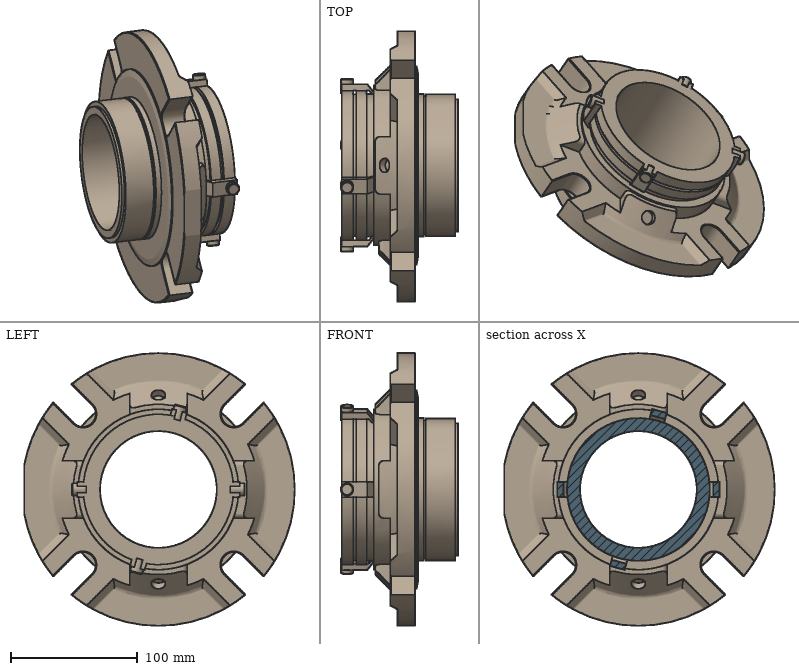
import cadquery as cq
import math

SLEEVE_FRONT = 0.6
GROOVE_START = 9.7
GROOVE_END = 12.0
COLLAR_END = 20.5
HUB_FRONT = 25.9
ARM_FACE = 39.0
PAD_FACE = 44.6
FLANGE_BACK = 58.9
RIM_BACK = 60.0
SPIGOT_BACK = 61.0
RELIEF_START = 65.5
RELIEF_END = 67.3
BODY_END = 90.5
SLEEVE_END = 92.7

BORE_R = 92.0 / 2
COLLAR_R = 118.8 / 2
GROOVE_R = 112.5 / 2
NECK_R = 113.0 / 2
HUB_R = 63.5
RIM_R = 78.5
SPIGOT_R = 145.5 / 2
RELIEF_R = 109.8 / 2
BODY_R = 112.5 / 2
TAIL_R = 104.8 / 2

FLANGE_R = 107.8
FLAT_Y = 106.0
BACK_CHAMFER = 0.6
SLOT_ANGLES = (45, 135, 225, 315)
SLOT_W = 20.3
SLOT_CENTRE_R = 84.3
SLOT_CHAMFER = 0.6
ARM_HALF_W = 24.8
ARM_FOOT_R = 1.7

CONE_OFFSET = 40.1
CONE_FOOT_R = 3.9

LOBE_W = 45.3
LOBE_CORNER_R = 3.9
LOBE_FRONT = 27.2
SHORT_LOBE_FRONT = 30.0
LOBE_FRONTS = {0: LOBE_FRONT, 90: SHORT_LOBE_FRONT, 180: LOBE_FRONT, 270: LOBE_FRONT}
PORT_ANGLES = (0, 180)
PORT_D = 11.0
PORT_STATION = 34.5
PORT_DEPTH = 6.5

CLIP_ANGLES = (15, 90, 195, 270)
CLIP_W = 12.0
CLIP_BASE_R = 59.0
CLIP_TOP_R = 64.3
CLIP_BEND = 21.0
CLIP_TIP_TOP_R = 58.0
CLIP_INNER_BEND = 22.2
CLIP_TIP_R = 55.0
SCREW_D = 10.0
SCREW_TOP_R = 68.4
SCREW_EDGE = 0.6

OVERLAP = 2.2


def turned(profile):
    """Revolve a closed (x, radius) outline about the X axis."""
    return profile.close().revolve(360, (0, 0, 0), (1, 0, 0))


def about_axis(shape, angle):
    return shape.rotate((0, 0, 0), (1, 0, 0), angle)


def foot_arc(base, radius):
    """Start, middle and end (x, offset) of the fillet where a 45 degree wall meets the pad face."""
    length = radius * math.tan(math.radians(22.5))
    start = (PAD_FACE - length * math.sin(math.radians(45)), base - length * math.cos(math.radians(45)))
    middle = (
        PAD_FACE - radius + radius * math.cos(math.radians(22.5)),
        base + length - radius * math.sin(math.radians(22.5)),
    )
    end = (PAD_FACE, base + length)
    return start, middle, end


def sleeve():
    steps = [
        (GROOVE_START, COLLAR_R),
        (GROOVE_END, GROOVE_R),
        (COLLAR_END, COLLAR_R),
        (RELIEF_START, NECK_R),
        (RELIEF_END, RELIEF_R),
        (BODY_END, BODY_R),
        (SLEEVE_END, TAIL_R),
    ]
    profile = cq.Workplane("XY").moveTo(SLEEVE_FRONT, 0)
    start = SLEEVE_FRONT
    for end, radius in steps:
        profile = profile.lineTo(start, radius).lineTo(end, radius)
        start = end
    return turned(profile.lineTo(SLEEVE_END, 0))


def flange_disc():
    """Full cone, pad face, rim and rear spigot."""
    blank_r = FLANGE_R + OVERLAP
    start, middle, end = foot_arc(PAD_FACE + CONE_OFFSET, CONE_FOOT_R)
    profile = (
        cq.Workplane("XY")
        .moveTo(HUB_FRONT, 0)
        .lineTo(HUB_FRONT, HUB_FRONT + CONE_OFFSET)
        .lineTo(*start)
        .threePointArc(middle, end)
        .lineTo(PAD_FACE, blank_r)
        .lineTo(FLANGE_BACK, blank_r)
        .lineTo(FLANGE_BACK, RIM_R)
        .lineTo(RIM_BACK, RIM_R)
        .lineTo(SPIGOT_BACK, SPIGOT_R)
        .lineTo(SPIGOT_BACK, 0)
    )
    return turned(profile)


def slot_arm():
    """Raised radial pad with 45 degree flanks, pointing along +Z."""
    start, middle, end = foot_arc(ARM_HALF_W + PAD_FACE - ARM_FACE, ARM_FOOT_R)
    root_x = PAD_FACE + OVERLAP
    return (
        cq.Workplane("XY")
        .moveTo(ARM_FACE, -ARM_HALF_W)
        .lineTo(ARM_FACE, ARM_HALF_W)
        .lineTo(*start)
        .threePointArc(middle, end)
        .lineTo(root_x, end[1])
        .lineTo(root_x, -end[1])
        .lineTo(end[0], -end[1])
        .threePointArc((middle[0], -middle[1]), (start[0], -start[1]))
        .close()
        .extrude(FLANGE_R + 2 * OVERLAP)
    )


def outside_rim():
    """Waste around the finished flange rim: a ring with a back chamfer, plus the +Y flat."""
    waste_r = FLANGE_R + 4 * OVERLAP
    ring = turned(
        cq.Workplane("XY")
        .moveTo(HUB_FRONT, waste_r)
        .lineTo(HUB_FRONT, FLANGE_R)
        .lineTo(FLANGE_BACK - BACK_CHAMFER, FLANGE_R)
        .lineTo(FLANGE_BACK, FLANGE_R - BACK_CHAMFER)
        .lineTo(FLANGE_BACK, waste_r)
    )
    beyond_flat = (
        cq.Workplane("XY")
        .box(FLANGE_BACK - HUB_FRONT, waste_r - FLAT_Y, FLANGE_R, centered=(False, False, True))
        .translate((HUB_FRONT, FLAT_Y, 0))
    )
    return ring.union(beyond_flat)


def slot_half_section():
    """Half of the slot's width across the flange, chamfered at both faces."""
    half = SLOT_W / 2
    mouth_half = half + SLOT_CHAMFER
    return (
        cq.Workplane("XY", origin=(0, 0, SLOT_CENTRE_R))
        .moveTo(ARM_FACE, 0)
        .lineTo(ARM_FACE, mouth_half)
        .lineTo(ARM_FACE + SLOT_CHAMFER, half)
        .lineTo(FLANGE_BACK - SLOT_CHAMFER, half)
        .lineTo(FLANGE_BACK, mouth_half)
        .lineTo(FLANGE_BACK, 0)
        .close()
    )


def bolt_slot():
    """Bolt slot along +Z with a round inner end, open at the flange edge."""
    round_end = slot_half_section().revolve(360, (0, 0, 0), (1, 0, 0))
    straight_half = slot_half_section().extrude(FLANGE_R + 4 * OVERLAP - SLOT_CENTRE_R)
    return round_end.union(straight_half).union(straight_half.mirror("XZ"))


def lobe_gaps():
    """Ring cleared around the hub, leaving four parallel-sided lobes of the cone."""
    ring = (
        cq.Workplane("YZ")
        .workplane(offset=HUB_FRONT)
        .circle(ARM_FACE + CONE_OFFSET + OVERLAP)
        .circle(HUB_R)
        .extrude(ARM_FACE - HUB_FRONT)
    )
    for angle, front in LOBE_FRONTS.items():
        lobe = (
            cq.Workplane("XY")
            .box(ARM_FACE + OVERLAP - front, LOBE_W, FLANGE_R, centered=(False, True, False))
            .translate((front, 0, 0))
            .edges("|Z and <X")
            .fillet(LOBE_CORNER_R)
        )
        ring = ring.cut(about_axis(lobe, angle))
    return ring


def port():
    """Blind flush port drilled square to the cone."""
    mouth = cq.Plane(
        origin=(PORT_STATION, 0, PORT_STATION + CONE_OFFSET),
        xDir=(0, 1, 0),
        normal=(1, 0, -1),
    )
    drill = cq.Workplane(mouth).workplane(offset=-OVERLAP)
    return drill.circle(PORT_D / 2).extrude(PORT_DEPTH + OVERLAP)


def clip():
    """Bent setting clip with its screw head, standing on the collar along +Z."""
    tab = (
        cq.Workplane("XZ")
        .moveTo(SLEEVE_FRONT, CLIP_BASE_R)
        .lineTo(SLEEVE_FRONT, CLIP_TOP_R)
        .lineTo(CLIP_BEND, CLIP_TOP_R)
        .lineTo(HUB_FRONT, CLIP_TIP_TOP_R)
        .lineTo(HUB_FRONT, CLIP_TIP_R)
        .lineTo(CLIP_INNER_BEND, CLIP_BASE_R)
        .close()
        .extrude(CLIP_W / 2, both=True)
    )
    foot_z = CLIP_BASE_R - OVERLAP
    screw = (
        cq.Workplane("XY")
        .workplane(offset=foot_z)
        .center(SCREW_D / 2, 0)
        .circle(SCREW_D / 2)
        .extrude(SCREW_TOP_R - foot_z)
        .faces(">Z")
        .chamfer(SCREW_EDGE)
    )
    return tab.union(screw)


flange = flange_disc().cut(lobe_gaps())
for angle in SLOT_ANGLES:
    flange = flange.union(about_axis(slot_arm(), angle))
for angle in SLOT_ANGLES:
    flange = flange.cut(about_axis(bolt_slot(), angle))
for angle in PORT_ANGLES:
    flange = flange.cut(about_axis(port(), angle))

flange = flange.cut(outside_rim())
body = flange.union(sleeve())
for angle in CLIP_ANGLES:
    body = body.union(about_axis(clip(), angle))

bore = cq.Workplane("YZ").circle(BORE_R).extrude(SLEEVE_END)
result = body.cut(bore)